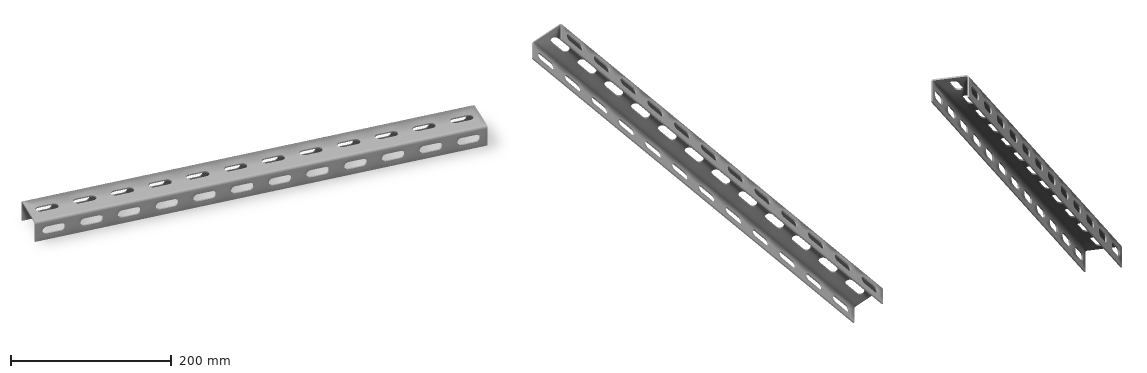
import cadquery as cq

length = 600.0
width = 50.0
height = 30.0
thickness = 2.0
inner_bend_radius = 1.5
outer_bend_radius = inner_bend_radius + thickness

slot_count = 12
slot_length = 30.0
slot_end_radius = 5.5
slot_width = 2 * slot_end_radius
slot_pitch = length / slot_count

flange_slot_height = (height - thickness / 2) / 2


def rounded_bar(bar_width, bar_height, bend_radius):
    """Full-length bar standing on Z = 0 with its two long top edges rounded."""
    bar = cq.Workplane("XY").box(bar_width, length, bar_height, centered=(True, True, False))
    return bar.edges("|Y and >Z").fillet(bend_radius)


def slot_row(plane, half_depth):
    """Row of slots along the plane's local X, extruded to both sides of the plane."""
    return (
        cq.Workplane(plane)
        .rarray(slot_pitch, 6, slot_count, 1)
        .slot2D(slot_length, slot_width)
        .extrude(half_depth, both=True)
    )


outer_bar = rounded_bar(width, height, outer_bend_radius)
inner_bar = rounded_bar(width - 2 * thickness, height - thickness, inner_bend_radius)
channel = outer_bar.cut(inner_bar)

web_plane = cq.Plane(origin=(0, 0, height), xDir=(0, 1, 0), normal=(0, 0, 1))
flange_plane = cq.Plane(origin=(0, 0, flange_slot_height), xDir=(0, 1, 0), normal=(1, 0, 0))

web_slots = slot_row(web_plane, 2 * thickness)
flange_slots = slot_row(flange_plane, width)

result = channel.cut(web_slots).cut(flange_slots)